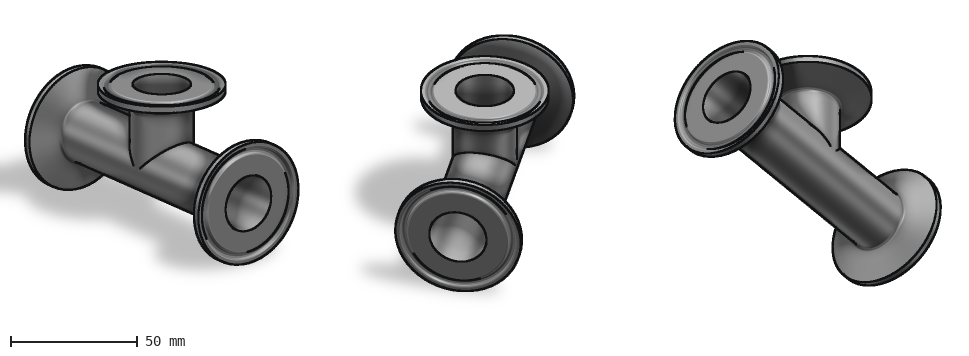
import cadquery as cq
import math

run_length = 110.0
branch_height = 34.05
tube_diameter = 25.4
bore_diameter = 23.0

flange_diameter = 50.5
rim_thickness = 2.9
cone_angle = 20.0
neck_radius = 1.6

groove_diameter = 43.7
groove_radius = 1.3
lip_radius = 0.9

tube_r = tube_diameter / 2
flange_r = flange_diameter / 2
groove_r = groove_diameter / 2


def make_arm(length):
    """Solid arm along +Z, from the tee centre to its ferrule face."""
    slope = math.radians(cone_angle)
    neck_z = length - rim_thickness - (flange_r - tube_r) * math.tan(slope)
    tangent_length = neck_radius * math.tan((math.pi / 2 - slope) / 2)
    cone_end_r = tube_r + tangent_length * math.cos(slope)
    cone_end_z = neck_z + tangent_length * math.sin(slope)
    profile = (
        cq.Workplane("XZ")
        .lineTo(tube_r, 0)
        .lineTo(tube_r, neck_z - tangent_length)
        .radiusArc((cone_end_r, cone_end_z), neck_radius)
        .lineTo(flange_r, length - rim_thickness)
        .lineTo(flange_r, length)
        .lineTo(0, length)
        .close()
    )
    arm = profile.revolve(360, (0, 0), (0, 1))
    return arm.cut(make_groove(length))


def make_groove(face_z):
    """Ring cutter: round groove whose edges blend tangentially into the face."""
    centre_distance = groove_radius + lip_radius
    lip_offset = math.sqrt(centre_distance**2 - lip_radius**2)
    tangent_offset = lip_offset * groove_radius / centre_distance
    tangent_z = face_z - lip_radius * groove_radius / centre_distance
    profile = (
        cq.Workplane("XZ")
        .moveTo(groove_r - lip_offset, face_z)
        .radiusArc((groove_r - tangent_offset, tangent_z), lip_radius)
        .threePointArc(
            (groove_r, face_z - groove_radius),
            (groove_r + tangent_offset, tangent_z),
        )
        .radiusArc((groove_r + lip_offset, face_z), lip_radius)
        .close()
    )
    return profile.revolve(360, (0, 0), (0, 1))


def make_bore(length):
    """Through-bore of one arm along +Z."""
    return cq.Workplane("XY").circle(bore_diameter / 2).extrude(length)


def turn_to_x(body, angle):
    """Swing an arm from +Z about the Y axis."""
    return body.rotate((0, 0, 0), (0, 1, 0), angle)


half_run = run_length / 2
run_angles = (-90, 90)
result = make_arm(branch_height)
for angle in run_angles:
    result = result.union(turn_to_x(make_arm(half_run), angle))

result = result.cut(make_bore(branch_height))
for angle in run_angles:
    result = result.cut(turn_to_x(make_bore(half_run), angle))